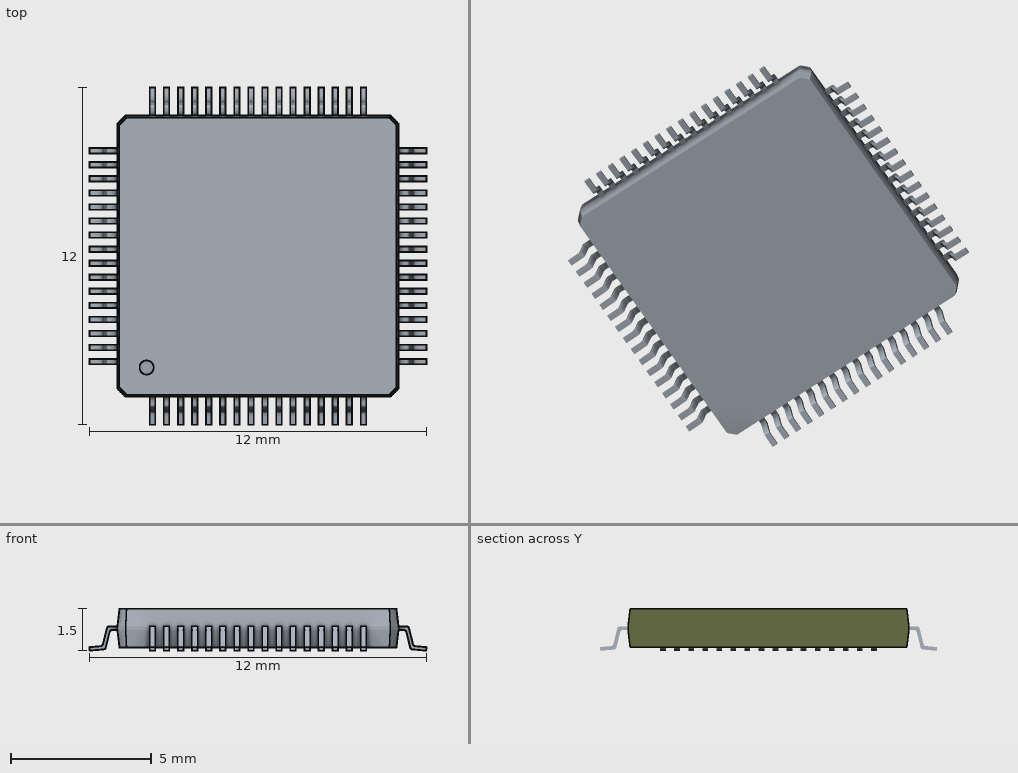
import cadquery as cq
import math

SPAN = 12.0
HEIGHT = 1.5

BODY_WIDTH = 10.01
STANDOFF = 0.11
CORNER_CUT = 0.3
DRAFT_ANGLE = 7.0

SIDES = 4
LEADS_PER_SIDE = 16
ROW_LENGTH = 7.5
LEAD_PITCH = ROW_LENGTH / (LEADS_PER_SIDE - 1)
LEAD_WIDTH = 0.2
LEAD_THICKNESS = 0.13
FOOT_LENGTH = 0.56
FOOT_ANGLE = 5.0
SHANK_ANGLE = 14.0
BEND_RADIUS = 0.1
LEAD_EMBED = 0.12

MARK_DIAMETER = 0.5
MARK_DEPTH = 0.05
MARK_OFFSET = 3.96

BODY_MIDDLE = (STANDOFF + HEIGHT) / 2
BAND_BOTTOM = BODY_MIDDLE - LEAD_THICKNESS / 2
BAND_TOP = BODY_MIDDLE + LEAD_THICKNESS / 2


def body_section(level):
    """Square with cut corners, as wide as the band, drawn at the given height."""
    half = BODY_WIDTH / 2
    flat = half - CORNER_CUT
    corners = [
        (half, -flat), (half, flat), (flat, half), (-flat, half),
        (-half, flat), (-half, -flat), (-flat, -half), (flat, -half),
    ]
    return cq.Workplane("XY").workplane(offset=level).polyline(corners).close()


def make_body():
    """Straight parting band with a drafted block above and another below."""
    band = body_section(BAND_BOTTOM).extrude(LEAD_THICKNESS)
    upper = body_section(BAND_TOP).extrude(HEIGHT - BAND_TOP, taper=DRAFT_ANGLE)
    lower = body_section(BAND_BOTTOM).extrude(STANDOFF - BAND_BOTTOM, taper=DRAFT_ANGLE)
    return band.union(upper).union(lower)


def make_lead():
    """One lead centred on Y = 0 on the +X side, bent down and outward to the seating plane."""
    foot = math.radians(FOOT_ANGLE)
    shank = math.radians(SHANK_ANGLE)
    tip_top = (SPAN / 2, LEAD_THICKNESS * math.cos(foot))
    tip_bottom = (SPAN / 2 - LEAD_THICKNESS * math.sin(foot), 0)
    lower_outside = (
        tip_bottom[0] - FOOT_LENGTH * math.cos(foot),
        FOOT_LENGTH * math.sin(foot),
    )
    miter = LEAD_THICKNESS * math.tan((math.pi / 2 - shank - foot) / 2)
    lower_inside = (
        tip_top[0] - (FOOT_LENGTH - miter) * math.cos(foot),
        tip_top[1] + (FOOT_LENGTH - miter) * math.sin(foot),
    )
    upper_inside = (
        lower_outside[0] - (BAND_BOTTOM - lower_outside[1]) * math.tan(shank),
        BAND_BOTTOM,
    )
    upper_outside = (
        lower_inside[0] - (BAND_TOP - lower_inside[1]) * math.tan(shank),
        BAND_TOP,
    )
    root = BODY_WIDTH / 2 - LEAD_EMBED
    profile = [
        (root, BAND_BOTTOM), upper_inside, lower_outside, tip_bottom,
        tip_top, lower_inside, upper_outside, (root, BAND_TOP),
    ]
    lead = cq.Workplane("XZ").polyline(profile).close().extrude(LEAD_WIDTH / 2, both=True)
    for x, z in (upper_inside, lower_outside, lower_inside, upper_outside):
        bend = cq.selectors.NearestToPointSelector((x, 0, z))
        lead = lead.edges("|Y").edges(bend).fillet(BEND_RADIUS)
    return lead.val()


def make_leads():
    """A centred row of leads on each side of the body."""
    lead = make_lead()
    first = -ROW_LENGTH / 2
    row = [lead.translate(cq.Vector(0, first + i * LEAD_PITCH, 0)) for i in range(LEADS_PER_SIDE)]
    return [
        placed.rotate(cq.Vector(0, 0, 0), cq.Vector(0, 0, 1), 360 / SIDES * side)
        for side in range(SIDES)
        for placed in row
    ]


def make_index_mark():
    """Shallow round recess in the top face near the -X, -Y corner."""
    return (
        cq.Workplane("XY")
        .workplane(offset=HEIGHT - MARK_DEPTH)
        .center(-MARK_OFFSET, -MARK_OFFSET)
        .circle(MARK_DIAMETER / 2)
        .extrude(MARK_DEPTH)
    )


body = make_body().cut(make_index_mark())
result = cq.Workplane("XY").newObject([body.val().fuse(*make_leads())])